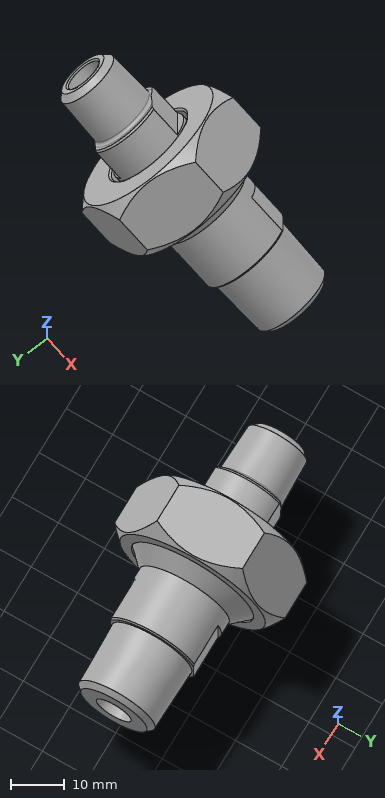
import cadquery as cq
import math

total_length = 61.5
bore_diameter = 7.5
mouth_chamfer = 0.3

nut_start = 19.0
nut_length = 13.45
nut_across_flats = 32.0
nut_face_diameter = 31.5
nut_bore_diameter = 18.5
nut_bore_chamfer = 0.35
nut_lip_thickness = 2.45
cavity_diameter = 26.4

spigot_tip_chamfer = 1.3
spigot_tip_radius = 6.45
spigot_root_radius = 6.8
shank_start = 11.9
shank_diameter = 17.0
shank_chamfer_length = 0.4
shank_chamfer_depth = 0.25
shank_across_flats = 13.9
shank_flat_end = 19.2
root_fillet = 0.7
collar_thickness = 4.3

cone_end = 35.5
body_end = 47.5
body_diameter = 19.5
body_chamfer = 0.3
body_across_flats = 17.95
body_flat_start = 38.4
outlet_root_radius = 8.7
outlet_tip_radius = 8.3
outlet_tip_chamfer = 1.1

nut_end = nut_start + nut_length
collar_start = nut_start + nut_lip_thickness
collar_end = collar_start + collar_thickness
bore_radius = bore_diameter / 2
cavity_radius = cavity_diameter / 2
shank_radius = shank_diameter / 2
body_radius = body_diameter / 2
cone_start = cone_end - (cavity_radius - body_radius)
arc_middle = root_fillet * (1 - math.sqrt(0.5))


def revolve_about_x(profile):
    """Turn a closed XY profile of (x, radius) points about the X axis."""
    return profile.close().revolve(360, (0, 0, 0), (1, 0, 0))


def flat_cutters(start, end, across_flats, diameter):
    """Two blocks that cut parallel flats facing -Y and +Y."""
    depth = (diameter - across_flats) / 2
    block = cq.Workplane("XY").box(end - start, 2 * depth, diameter)
    offset = across_flats / 2 + depth
    middle = (start + end) / 2
    return block.translate((middle, offset, 0)).union(block.translate((middle, -offset, 0)))


def make_nut():
    corner_diameter = nut_across_flats / math.cos(math.pi / 6)
    face_radius = nut_face_diameter / 2
    corner_radius = corner_diameter / 2
    chamfer = corner_radius - face_radius
    hexagon = cq.Workplane("YZ", origin=(nut_start, 0, 0)).polygon(6, corner_diameter).extrude(nut_length)

    envelope = revolve_about_x(
        cq.Workplane("XY")
        .moveTo(nut_start, 0)
        .lineTo(nut_start, face_radius)
        .lineTo(nut_start + chamfer, corner_radius)
        .lineTo(nut_end - chamfer, corner_radius)
        .lineTo(nut_end, face_radius)
        .lineTo(nut_end, 0)
    )

    lip_radius = nut_bore_diameter / 2
    opening = revolve_about_x(
        cq.Workplane("XY")
        .moveTo(nut_start, 0)
        .lineTo(nut_start, lip_radius + nut_bore_chamfer)
        .lineTo(nut_start + nut_bore_chamfer, lip_radius)
        .lineTo(collar_start, lip_radius)
        .lineTo(collar_start, cavity_radius)
        .lineTo(nut_end, cavity_radius)
        .lineTo(nut_end, 0)
    )
    return hexagon.intersect(envelope).cut(opening)


def make_tailpiece():
    turned = revolve_about_x(
        cq.Workplane("XY")
        .moveTo(0, bore_radius + mouth_chamfer)
        .lineTo(0, spigot_tip_radius - spigot_tip_chamfer)
        .lineTo(spigot_tip_chamfer, spigot_tip_radius)
        .lineTo(shank_start - root_fillet, spigot_root_radius)
        .threePointArc(
            (shank_start - arc_middle, spigot_root_radius + arc_middle),
            (shank_start, spigot_root_radius + root_fillet),
        )
        .lineTo(shank_start, shank_radius - shank_chamfer_depth)
        .lineTo(shank_start + shank_chamfer_length, shank_radius)
        .lineTo(collar_start - root_fillet, shank_radius)
        .threePointArc(
            (collar_start - arc_middle, shank_radius + arc_middle),
            (collar_start, shank_radius + root_fillet),
        )
        .lineTo(collar_start, cavity_radius)
        .lineTo(collar_end, cavity_radius)
        .lineTo(collar_end, bore_radius)
        .lineTo(mouth_chamfer, bore_radius)
    )
    flat_start = shank_start - root_fillet
    return turned.cut(flat_cutters(flat_start, shank_flat_end, shank_across_flats, shank_diameter))


def make_socket():
    turned = revolve_about_x(
        cq.Workplane("XY")
        .moveTo(collar_end, bore_radius)
        .lineTo(collar_end, cavity_radius)
        .lineTo(cone_start, cavity_radius)
        .lineTo(cone_end, body_radius)
        .lineTo(body_end - body_chamfer, body_radius)
        .lineTo(body_end, body_radius - body_chamfer)
        .lineTo(body_end, outlet_root_radius)
        .lineTo(total_length - outlet_tip_chamfer, outlet_tip_radius)
        .lineTo(total_length, outlet_tip_radius - outlet_tip_chamfer)
        .lineTo(total_length, bore_radius)
    )
    return turned.cut(flat_cutters(body_flat_start, body_end, body_across_flats, body_diameter))


nut = make_nut()
tailpiece = make_tailpiece()
socket = make_socket()

result = cq.Compound.makeCompound([nut.val(), tailpiece.val(), socket.val()])